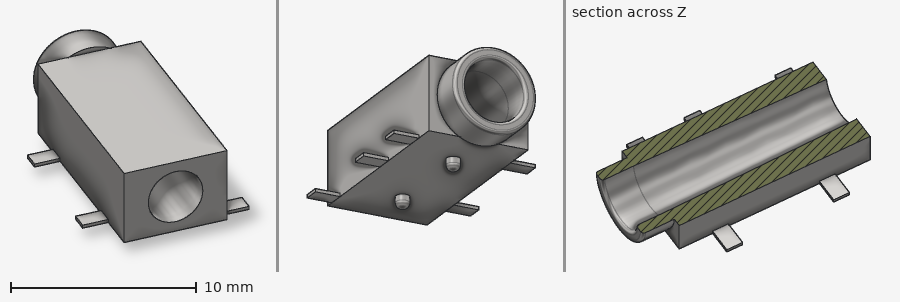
import cadquery as cq
import math


overall_length = 14
collar_length = 2.0
collar_diameter = 5.0
block_length = overall_length - collar_length
block_width = 6.0
block_height = 4.4
block_bottom = -block_height / 2

bore_diameter = 3.6
bore_taper_degrees = 1.0
rim_radius = 0.2

peg_diameter = 0.8
peg_drop = 0.7
peg_tip_radius = 0.35
first_peg_x = 5.0
peg_spacing = 6.0

terminal_width = 1.0
terminal_length = 1.5
terminal_thickness = 0.2
front_terminal_places = [4.59, 11.3]
back_terminal_places = [3.7, 7.3, 13.0]


def make_collar():
    return cq.Workplane("YZ").circle(collar_diameter / 2).extrude(collar_length)


def make_block():
    return cq.Workplane("XY").box(block_length, block_width, block_height).translate(
        (collar_length + block_length / 2, 0, 0)
    )


def make_peg(x):
    return (
        cq.Workplane("XY", origin=(x, 0, block_bottom))
        .circle(peg_diameter / 2)
        .extrude(-peg_drop)
        .faces("<Z")
        .edges()
        .fillet(peg_tip_radius)
    )


def make_bore():
    """Straight bore through the collar followed by a tapering bore through the block."""
    entry_radius = bore_diameter / 2
    exit_radius = entry_radius - block_length * math.tan(math.radians(bore_taper_degrees))
    straight = cq.Workplane("YZ").circle(entry_radius).extrude(collar_length)
    tapered = cq.Workplane(
        cq.Solid.makeCone(
            entry_radius,
            exit_radius,
            block_length,
            pnt=cq.Vector(collar_length, 0, 0),
            dir=cq.Vector(1, 0, 0),
        )
    )
    return straight.union(tapered)


def make_housing():
    body = make_block().union(make_collar()).cut(make_bore())
    body = body.faces("<X").edges().fillet(rim_radius)
    for peg_x in (first_peg_x, first_peg_x + peg_spacing):
        body = body.union(make_peg(peg_x))
    return body


def make_terminal(x, side):
    """Terminal centred at x on the front (side = -1) or back (side = 1) of the block."""
    y = side * (block_width + terminal_length) / 2
    z = block_bottom + terminal_thickness / 2
    return (
        cq.Workplane("XY")
        .box(terminal_width, terminal_length, terminal_thickness)
        .translate((x, y, z))
    )


housing = make_housing()
terminals = [make_terminal(x, -1) for x in front_terminal_places]
terminals += [make_terminal(x, 1) for x in back_terminal_places]

result = cq.Compound.makeCompound([housing.val(), *[terminal.val() for terminal in terminals]])